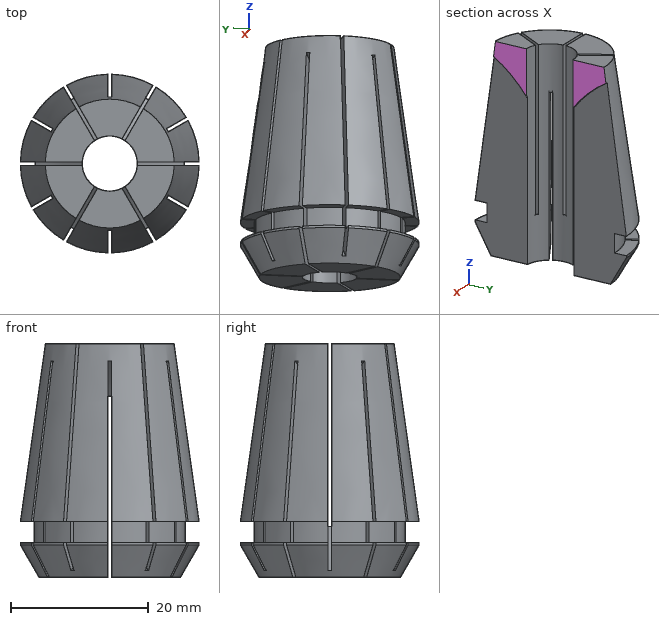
import cadquery as cq
import math

height = 34
max_diameter = 26.0
bore_diameter = 8.0

body_half_angle = 8
nose_half_angle = 30
nose_height = 4.73
rim_top = 5.05
groove_top = 8.13
groove_diameter = 22.0

slots_per_end = 6
slot_width = 0.5
blade_radius = 20.0
top_slot_end_outside = 1.0
top_slot_end_at_bore = 7.4
bottom_slot_end_outside = 31.52
bottom_slot_end_at_bore = 26.35

max_radius = max_diameter / 2
bore_radius = bore_diameter / 2
groove_radius = groove_diameter / 2
top_radius = max_radius - (height - groove_top) * math.tan(math.radians(body_half_angle))
bottom_radius = max_radius - nose_height * math.tan(math.radians(nose_half_angle))
slot_pitch = 360 / slots_per_end


def collet_blank():
    """Revolve the half section: nose cone, narrow rim, groove and long taper around the bore."""
    half_section = [
        (bore_radius, 0),
        (bottom_radius, 0),
        (max_radius, nose_height),
        (max_radius, rim_top),
        (groove_radius, rim_top),
        (groove_radius, groove_top),
        (max_radius, groove_top),
        (top_radius, height),
        (bore_radius, height),
    ]
    return cq.Workplane("XZ").polyline(half_section).close().revolve(360, (0, 0), (0, 1))


def blade_center(outer_end, bore_end, side):
    """Center of the blade arc through both ends; side is +1 if it lies above them, -1 if below."""
    run = outer_end[0] - bore_end[0]
    rise = outer_end[1] - bore_end[1]
    chord = math.hypot(run, rise)
    offset = math.sqrt(blade_radius**2 - (chord / 2) ** 2)
    middle_radius = (outer_end[0] + bore_end[0]) / 2
    middle_z = (outer_end[1] + bore_end[1]) / 2
    return (
        middle_radius - side * offset * rise / chord,
        middle_z + side * offset * run / chord,
    )


def slot_cutter(outer_end, bore_end, open_z):
    """Blade-thick slab along +X, from the arc-shaped slot end to the open end of the collet."""
    side = 1 if open_z > bore_end[1] else -1
    center_radius, center_z = blade_center(outer_end, bore_end, side)
    deepest_z = center_z - side * blade_radius
    arc_middle_offset = blade_radius * math.sqrt(0.5)
    innermost_radius = center_radius - blade_radius
    return (
        cq.Workplane("XZ")
        .moveTo(center_radius, deepest_z)
        .threePointArc(
            (center_radius - arc_middle_offset, center_z - side * arc_middle_offset),
            (innermost_radius, center_z),
        )
        .lineTo(innermost_radius, open_z)
        .lineTo(center_radius, open_z)
        .close()
        .extrude(slot_width / 2, both=True)
    )


def cut_slots(body, cutter, first_angle):
    for index in range(slots_per_end):
        body = body.cut(cutter.rotate((0, 0, 0), (0, 0, 1), first_angle + index * slot_pitch))
    return body


nose_skin_radius = bottom_radius + top_slot_end_outside * math.tan(math.radians(nose_half_angle))
body_skin_radius = top_radius + (height - bottom_slot_end_outside) * math.tan(math.radians(body_half_angle))

top_slot = slot_cutter(
    (nose_skin_radius, top_slot_end_outside), (bore_radius, top_slot_end_at_bore), height
)
bottom_slot = slot_cutter(
    (body_skin_radius, bottom_slot_end_outside), (bore_radius, bottom_slot_end_at_bore), 0
)

result = collet_blank()
result = cut_slots(result, top_slot, 0)
result = cut_slots(result, bottom_slot, slot_pitch / 2)